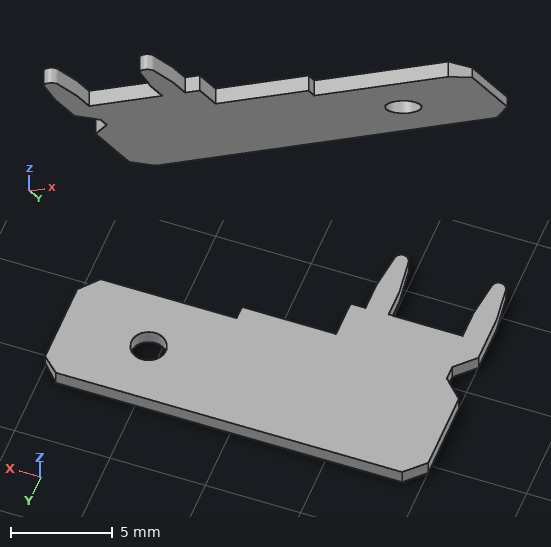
import cadquery as cq

length = 20.07
height = 12.95
thickness = 0.8

blade_width = 6.35
blade_bottom = height - blade_width
lead_in = 0.9
bevel_drop = 0.15
hole_diameter = 1.79
hole_from_end = 4.6

step_end = 12.05
step_bottom = blade_bottom - 0.76
body_end = 7.1
body_bottom = 3.8

corner_cut = 1.0

pin_width = 1.22
pin_pitch = 5.1
pin_taper_start = 2.27
tip_radius = 0.38
pin_overlap = 0.2


def make_plate():
    """Flat plate with cut corners, side notch and stepped underside."""
    outline = [
        (0, body_bottom),
        (body_end, body_bottom),
        (body_end, step_bottom),
        (step_end, step_bottom),
        (step_end, blade_bottom),
        (length - lead_in, blade_bottom),
        (length, blade_bottom + lead_in),
        (length, height - lead_in),
        (length - lead_in, height),
        (corner_cut, height),
        (0, height - corner_cut),
        (0, blade_bottom + corner_cut),
        (corner_cut, blade_bottom),
        (corner_cut, step_bottom),
        (0, step_bottom - corner_cut),
    ]
    return cq.Workplane("XY").polyline(outline).close().extrude(thickness)


def make_pin(left):
    """Tapered pin with a rounded tip, starting at the given left edge."""
    center = left + pin_width / 2
    right = left + pin_width
    top = body_bottom + pin_overlap
    return (
        cq.Workplane("XY")
        .moveTo(left, top)
        .lineTo(left, pin_taper_start)
        .lineTo(center - tip_radius, tip_radius)
        .threePointArc((center, 0), (center + tip_radius, tip_radius))
        .lineTo(right, pin_taper_start)
        .lineTo(right, top)
        .close()
        .extrude(thickness)
    )


def make_bevel_cutter(face_z, tip_z):
    """Wedge that slopes one face of the blade toward its end."""
    return (
        cq.Workplane("XZ", origin=(0, height, 0))
        .polyline([(length - lead_in, face_z), (length, face_z), (length, tip_z)])
        .close()
        .extrude(blade_width)
    )


result = make_plate()
for pin_left in (0, pin_pitch):
    result = result.union(make_pin(pin_left))

result = result.cut(make_bevel_cutter(thickness, thickness - bevel_drop))
result = result.cut(make_bevel_cutter(0, bevel_drop))

hole = (
    cq.Workplane("XY")
    .center(length - hole_from_end, height - blade_width / 2)
    .circle(hole_diameter / 2)
    .extrude(thickness)
)
result = result.cut(hole)